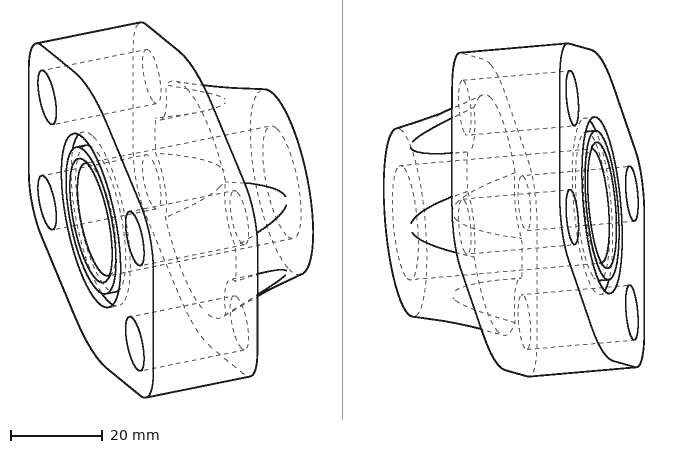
import cadquery as cq
import math

flange_width = 81.0
flange_height = 68.0
flange_thickness = 24.05
crown_radius = flange_height / 2

bolt_x = 28.5
bolt_z = 13.9
bolt_hole_diameter = 12.0
spotface_radius = 9.6
corner_radius = flange_width / 2 - bolt_x

overall_depth = 44.0
neck_length = overall_depth - flange_thickness
neck_base_radius = 26.3
neck_mid_radius_x = 23.3
neck_mid_radius_z = 22.9
neck_tip_radius = 20.6

bore_radius = 12.5
bore_chamfer_radius = 13.8
bore_chamfer_depth = bore_chamfer_radius - bore_radius
groove_outer_radius = 19.3
groove_inner_radius = 16.3
groove_depth = 2.2


def plane_at(y):
    """XZ sketch plane at depth y; positive extrusion runs toward +Y, local axes are (X, -Z)."""
    return cq.Workplane(cq.Plane(origin=(0, y, 0), xDir=(1, 0, 0), normal=(0, 1, 0)))


def bolt_cylinders(radius, start, length):
    """One cylinder on each of the four bolt axes."""
    pattern = plane_at(start).rect(2 * bolt_x, 2 * bolt_z, forConstruction=True)
    return pattern.vertices().circle(radius).extrude(length)


def make_flange():
    """Crown and corner arcs joined by straight lines tangent to both."""
    bolt_angle = math.atan2(bolt_z, bolt_x)
    bolt_distance = math.hypot(bolt_x, bolt_z)
    tangent_angle = bolt_angle + math.acos((crown_radius - corner_radius) / bolt_distance)
    normal_x = math.cos(tangent_angle)
    normal_z = math.sin(tangent_angle)

    crown_x = crown_radius * normal_x
    crown_z = crown_radius * normal_z
    corner_x = bolt_x + corner_radius * normal_x
    corner_z = bolt_z + corner_radius * normal_z
    mid_angle = tangent_angle / 2
    mid_x = bolt_x + corner_radius * math.cos(mid_angle)
    mid_z = bolt_z + corner_radius * math.sin(mid_angle)
    side_x = flange_width / 2

    outline = (
        plane_at(0)
        .moveTo(side_x, -bolt_z)
        .lineTo(side_x, bolt_z)
        .threePointArc((mid_x, mid_z), (corner_x, corner_z))
        .lineTo(crown_x, crown_z)
        .threePointArc((0, crown_radius), (-crown_x, crown_z))
        .lineTo(-corner_x, corner_z)
        .threePointArc((-mid_x, mid_z), (-side_x, bolt_z))
        .lineTo(-side_x, -bolt_z)
        .threePointArc((-mid_x, -mid_z), (-corner_x, -corner_z))
        .lineTo(-crown_x, -crown_z)
        .threePointArc((0, -crown_radius), (crown_x, -crown_z))
        .lineTo(corner_x, -corner_z)
        .threePointArc((mid_x, -mid_z), (side_x, -bolt_z))
        .close()
    )
    return outline.extrude(flange_thickness)


def make_neck():
    """Round-ended taper, nearly straight along X and more concave along Z, scalloped for bolt head clearance."""
    taper = (
        plane_at(flange_thickness)
        .ellipse(neck_base_radius, neck_base_radius)
        .workplane(offset=neck_length / 2)
        .ellipse(neck_mid_radius_x, neck_mid_radius_z)
        .workplane(offset=neck_length / 2)
        .ellipse(neck_tip_radius, neck_tip_radius)
        .loft()
    )
    return taper.cut(bolt_cylinders(spotface_radius, flange_thickness, neck_length))


def make_bore():
    """Through bore with a chamfered mouth at the front face."""
    return (
        cq.Workplane("XY")
        .polyline([
            (0, 0),
            (bore_chamfer_radius, 0),
            (bore_radius, bore_chamfer_depth),
            (bore_radius, overall_depth),
            (0, overall_depth),
        ])
        .close()
        .revolve(360, (0, 0, 0), (0, 1, 0))
    )


def make_groove():
    """Ring-shaped seal groove in the front face."""
    return plane_at(0).circle(groove_outer_radius).circle(groove_inner_radius).extrude(groove_depth)


body = make_flange().union(make_neck())
body = body.cut(bolt_cylinders(bolt_hole_diameter / 2, 0, flange_thickness))
result = body.cut(make_bore()).cut(make_groove())